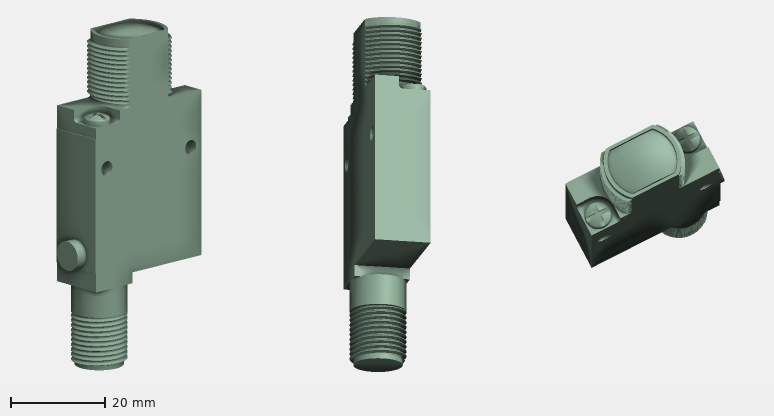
import cadquery as cq
width = 12.1
lid_depth = 30.6
back_y = lid_depth / 2
front_y = -lid_depth / 2
overlap = 0.15

foot_z = 18.2
body_bottom_z = 20.6
panel_bottom_z = 22.4
lid_bottom_z = 51.9
lid_top_z = 57.0
foot_back_y = -4.7
panel_rise = 0.2

button_radius = 3.2
button_length = 2.5
button_z = 25.5

fixing_y = 12.15
cross_hole_diameter = 3.2
cross_hole_z = 44.9
screw_x = 2.9

pocket_radius = 3.8
pocket_depth = 2.7
pocket_fillet = 0.9
pocket_floor_z = lid_top_z - pocket_depth
screw_radius = 2.85
screw_height = 2.1
screw_dome_rise = 0.9
screw_edge_fillet = 0.5
screw_slot_width = 0.95
screw_slot_depth = 0.8

head_radius = 8.2
head_crest_radius = 9.0
head_fillet = 0.65
cap_top_z = 72.1
head_thread_bottom_z = 58.0
head_thread_top_z = 70.2
head_helix_start_z = 57.0
head_thread_pitch = 11.95 / 12

lens_top_z = 72.8
recess_radius = 7.4
recess_width = 10.8
recess_depth = 1.1
lens_gap = 0.2
lens_sphere_radius = 18.2

connector_y = -8.75
collar_radius = width / 2
collar_bottom_z = 11.8
connector_core_radius = 5.25
connector_thread_bottom_z = 1.1
connector_helix_start_z = 0.4
connector_thread_pitch = 10.7 / 10


def cylinder(radius, bottom_z, top_z, x=0, y=0):
    """Upright cylinder between two heights."""
    return cq.Workplane("XY", origin=(x, y, bottom_z)).circle(radius).extrude(top_z - bottom_z)


def block(y_min, y_max, bottom_z, top_z, x_size=width):
    """Block centred on X."""
    size = (x_size, y_max - y_min, top_z - bottom_z)
    return cq.Workplane("XY", origin=(0, y_min, bottom_z)).box(*size, centered=(True, False, False))


def thread_ridge(core_radius, crest_radius, pitch, helix_start_z, bottom_z, top_z):
    """Right-hand helical ridge of trapezoid section around the Z axis, with flat ends."""
    root_half = 0.45 * pitch
    crest_half = 0.06 * pitch
    helix = cq.Wire.makeHelix(pitch, top_z + pitch - helix_start_z, core_radius)
    ridge = (
        cq.Workplane("XZ")
        .moveTo(core_radius - overlap, -root_half)
        .lineTo(crest_radius, -crest_half)
        .lineTo(crest_radius, crest_half)
        .lineTo(core_radius - overlap, root_half)
        .close()
        .sweep(cq.Workplane(helix), isFrenet=True)
        .translate((0, 0, helix_start_z))
    )
    return ridge.intersect(cylinder(2 * crest_radius, bottom_z, top_z))


def make_housing():
    housing = block(front_y, back_y, body_bottom_z, lid_top_z)
    housing = housing.union(block(front_y, foot_back_y, foot_z, lid_top_z))
    housing = housing.union(block(front_y - panel_rise, back_y, panel_bottom_z, lid_bottom_z))
    button = (
        cq.Workplane("XZ", origin=(0, front_y, button_z))
        .circle(button_radius)
        .extrude(panel_rise + button_length)
    )
    cross_holes = (
        cq.Workplane("YZ", origin=(0, 0, cross_hole_z))
        .pushPoints([(-fixing_y, 0), (fixing_y, 0)])
        .circle(cross_hole_diameter / 2)
        .extrude(width, both=True)
    )
    return housing.union(button).cut(cross_holes)


def make_head():
    """Threaded round head with two flats, a base fillet and a domed lens."""
    flats = block(front_y, back_y, lid_top_z - overlap, cap_top_z)
    core = cylinder(head_radius, lid_top_z - overlap, cap_top_z)
    thread = thread_ridge(
        head_radius,
        head_crest_radius,
        head_thread_pitch,
        head_helix_start_z,
        head_thread_bottom_z,
        head_thread_top_z,
    )
    flare_radius = head_radius + head_fillet
    flare = (
        cq.Workplane("XZ")
        .moveTo(0, lid_top_z)
        .lineTo(flare_radius, lid_top_z)
        .radiusArc((head_radius, lid_top_z + head_fillet), head_fillet)
        .lineTo(0, lid_top_z + head_fillet)
        .close()
        .revolve(360, (0, 0, 0), (0, 1, 0))
    )
    return core.union(flare).intersect(flats).union(thread.intersect(flats))


def flatted_plug(radius, flat_width, bottom_z, top_z):
    """Cylinder on the head axis with two flats facing X."""
    return cylinder(radius, bottom_z, top_z).intersect(block(-radius, radius, bottom_z, top_z, flat_width))


def make_lens_recess():
    return flatted_plug(recess_radius, recess_width, cap_top_z - recess_depth, lens_top_z)


def make_lens():
    bottom_z = cap_top_z - recess_depth - overlap
    plug = flatted_plug(recess_radius - lens_gap, recess_width - 2 * lens_gap, bottom_z, lens_top_z)
    dome = cq.Workplane("XY", origin=(0, 0, lens_top_z - lens_sphere_radius)).sphere(lens_sphere_radius)
    return plug.intersect(dome)


def make_screw_pocket():
    """Pocket open to the back and -X sides, rounded around the screw."""
    reach = 2 * pocket_radius
    return (
        cq.Workplane("XY", origin=(-screw_x, fixing_y, pocket_floor_z))
        .moveTo(-reach, -pocket_radius)
        .lineTo(0, -pocket_radius)
        .radiusArc((pocket_radius, 0), -pocket_radius)
        .lineTo(pocket_radius, reach)
        .lineTo(-reach, reach)
        .close()
        .extrude(pocket_depth + head_fillet)
        .faces("<Z")
        .edges()
        .fillet(pocket_fillet)
    )


def make_screw():
    """Domed screw head with a cross slot."""
    sphere_radius = (screw_radius**2 + screw_dome_rise**2) / (2 * screw_dome_rise)
    dome = cq.Workplane("XY", origin=(0, 0, screw_height - sphere_radius)).sphere(sphere_radius)
    screw = cylinder(screw_radius, 0, screw_height).intersect(dome)
    screw = screw.faces("%CYLINDER").edges("%CIRCLE").edges(">Z").fillet(screw_edge_fillet)
    screw = screw.union(cylinder(screw_radius, -overlap, 0))
    slot_z = screw_height - screw_slot_depth
    slot_length = 2 * screw_radius + overlap
    for size in ((slot_length, screw_slot_width), (screw_slot_width, slot_length)):
        screw = screw.cut(cq.Workplane("XY", origin=(0, 0, slot_z)).rect(*size).extrude(screw_slot_depth))
    return screw.translate((-screw_x, fixing_y, pocket_floor_z))


def make_connector():
    """Plain collar above a threaded plug."""
    plug = cylinder(connector_core_radius, 0, collar_bottom_z + overlap)
    plug = plug.union(
        thread_ridge(
            connector_core_radius,
            collar_radius,
            connector_thread_pitch,
            connector_helix_start_z,
            connector_thread_bottom_z,
            collar_bottom_z,
        )
    )
    collar = cylinder(collar_radius, collar_bottom_z, foot_z + overlap)
    return plug.union(collar).translate((0, connector_y, 0))


result = make_housing().union(make_head()).union(make_connector())
result = result.cut(make_lens_recess()).union(make_lens())

for turn in (0, 180):
    pocket = make_screw_pocket().rotate((0, 0, 0), (0, 0, 1), turn)
    screw = make_screw().rotate((0, 0, 0), (0, 0, 1), turn)
    result = result.cut(pocket).union(screw)